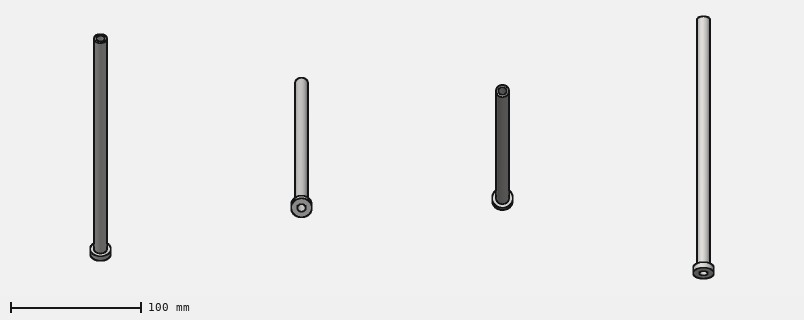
import cadquery as cq

total_length = 230.0
head_diameter = 16.0
head_height = 5.0
shaft_diameter = 10.1
bore_diameter = 6.5

head = cq.Workplane("XY").circle(head_diameter / 2).extrude(head_height)
shaft = cq.Workplane("XY").circle(shaft_diameter / 2).extrude(total_length)
bore = cq.Workplane("XY").circle(bore_diameter / 2).extrude(total_length)

result = head.union(shaft).cut(bore)